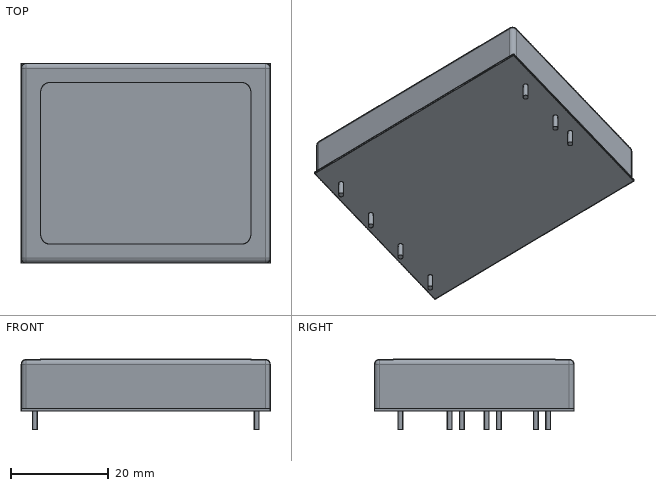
import cadquery as cq

LENGTH = 51.3
WIDTH = 41.15
TOTAL_HEIGHT = 14.5
PIN_LENGTH = 3.8

BASE_THICKNESS = 0.5
LABEL_THICKNESS = 0.1
CASE_HEIGHT = TOTAL_HEIGHT - PIN_LENGTH - LABEL_THICKNESS
COVER_HEIGHT = CASE_HEIGHT - BASE_THICKNESS

COVER_RADIUS = 1.05

LABEL_LENGTH = 43.3
LABEL_WIDTH = 33.35
LABEL_RADIUS = 2.0

PIN_DIAMETER = 1.05
MIDDLE_PIN_SPACING = 5.1
PIN_PITCH = MIDDLE_PIN_SPACING / 2
PIN_ROW_STEPS = 9
PIN_ROW_X = PIN_ROW_STEPS * PIN_PITCH
LEFT_ROW_STEPS = (-1, 1, 5)
RIGHT_ROW_STEPS = (-6, -2, 2, 6)


def make_base():
    """Flat, square-cornered plate that closes the case from below."""
    return cq.Workplane("XY").box(LENGTH, WIDTH, BASE_THICKNESS, centered=(True, True, False))


def make_label():
    """Thin rounded rectangle lying on top of the cover."""
    return (
        cq.Workplane("XY", origin=(0, 0, CASE_HEIGHT))
        .rect(LABEL_LENGTH, LABEL_WIDTH)
        .extrude(LABEL_THICKNESS)
        .edges("|Z")
        .fillet(LABEL_RADIUS)
    )


def make_cover():
    """Block with rounded upright and top edges."""
    return (
        cq.Workplane("XY", origin=(0, 0, BASE_THICKNESS))
        .rect(LENGTH, WIDTH)
        .extrude(COVER_HEIGHT)
        .edges("|Z or >Z")
        .fillet(COVER_RADIUS)
    )


def make_pin(x, y):
    """Round pin hanging from the underside of the base plate."""
    return cq.Workplane("XY", origin=(x, y, 0)).circle(PIN_DIAMETER / 2).extrude(-PIN_LENGTH)


base = make_base()
label = make_label()
cover = make_cover()

pins = []
for row_x, row_steps in ((-PIN_ROW_X, LEFT_ROW_STEPS), (PIN_ROW_X, RIGHT_ROW_STEPS)):
    for step in row_steps:
        pins.append(make_pin(row_x, step * PIN_PITCH).val())

result = cq.Compound.makeCompound([base.val(), cover.val(), label.val(), *pins])